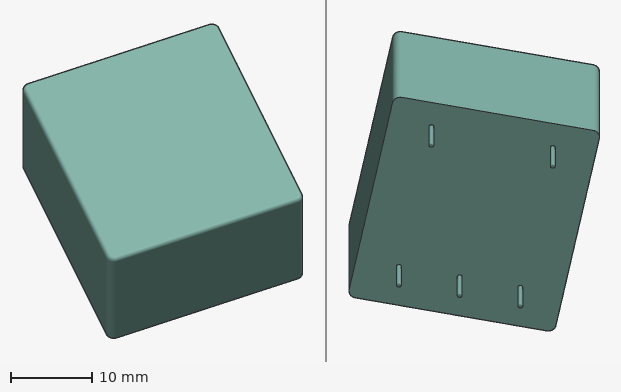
import cadquery as cq

housing_length = 29.2
housing_width = 26.0
overall_height = 20.9
corner_radius = 1.0
rim_radius = 0.5

pin_diameter = 0.6
pin_length = 4.53
pin_tip_radius = 0.15
pin_pitch_y = 7.62
left_pin_x = -11.18
pin_column_spacing = 20.35

housing_height = overall_height - pin_length
right_pin_x = left_pin_x + pin_column_spacing
pin_positions = [
    (left_pin_x, -pin_pitch_y),
    (left_pin_x, pin_pitch_y),
    (right_pin_x, -pin_pitch_y),
    (right_pin_x, 0),
    (right_pin_x, pin_pitch_y),
]


def make_housing():
    """Block standing on Z = 0."""
    block = cq.Workplane("XY").box(
        housing_length, housing_width, housing_height, centered=(True, True, False)
    )
    return block.edges("|Z").fillet(corner_radius).faces(">Z").edges().fillet(rim_radius)


def make_pin(x, y):
    """Pin hanging from the housing underside, with a rounded tip."""
    pin = cq.Workplane("XY").center(x, y).circle(pin_diameter / 2).extrude(-pin_length)
    return pin.faces("<Z").edges().fillet(pin_tip_radius)


housing = make_housing()
pins = [make_pin(x, y) for x, y in pin_positions]

result = cq.Compound.makeCompound([housing.val(), *[pin.val() for pin in pins]])